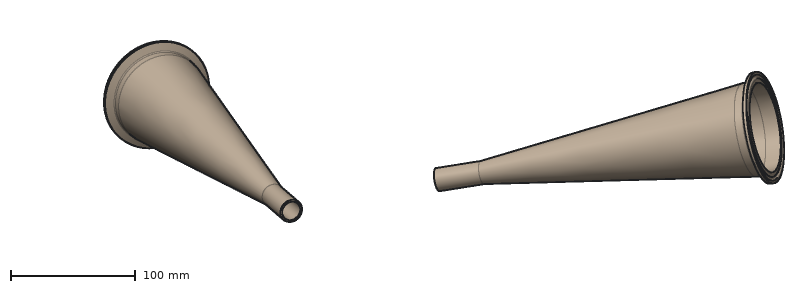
import cadquery as cq
import math

length = 279.5

flange_diameter = 90.8
rim_thickness = 2.8
flange_back_angle = 20.0
neck_diameter = 76.3
bore_diameter = 73.0
ferrule_length = 12.9
root_fillet = 1.0

groove_mean_diameter = 83.3
groove_width = 3.0
groove_depth = 1.5
groove_lip_fillet = 0.5

tube_diameter = 19.0
tube_bore_diameter = 15.6
tube_length = 38.0

flange_radius = flange_diameter / 2
neck_radius = neck_diameter / 2
bore_radius = bore_diameter / 2
tube_radius = tube_diameter / 2
tube_bore_radius = tube_bore_diameter / 2
tube_start = length - tube_length
flange_back_run = (flange_radius - neck_radius) * math.tan(math.radians(flange_back_angle))
flange_end = rim_thickness + flange_back_run


def revolve_about_x(profile):
    """Turn a closed (x, radius) profile a full turn about the X axis."""
    return profile.close().revolve(360, (0, 0, 0), (1, 0, 0))


def ferrule():
    """Clamp flange with a conical back and a short neck, bored through."""
    profile = (
        cq.Workplane("XY")
        .moveTo(0, bore_radius)
        .lineTo(0, flange_radius)
        .lineTo(rim_thickness, flange_radius)
        .lineTo(flange_end, neck_radius)
        .lineTo(ferrule_length, neck_radius)
        .lineTo(ferrule_length, bore_radius)
    )
    body = revolve_about_x(profile)
    root_circle_center = (flange_end, 0, 0)
    return body.edges(cq.selectors.NearestToPointSelector(root_circle_center)).fillet(root_fillet)


def gasket_groove():
    """Round-bottomed ring to cut from the clamp face."""
    mean_radius = groove_mean_diameter / 2
    half_width = groove_width / 2
    profile = (
        cq.Workplane("XY")
        .moveTo(0, mean_radius - half_width)
        .threePointArc((groove_depth, mean_radius), (0, mean_radius + half_width))
    )
    return revolve_about_x(profile)


def soften_groove_lips(body):
    """Round the two circular lips where the groove meets the clamp face."""
    inner_limit = (bore_radius + groove_mean_diameter / 2) / 2
    outer_limit = (flange_radius + groove_mean_diameter / 2) / 2
    face_circles = body.faces("<X").edges("%CIRCLE").vals()
    lips = [edge for edge in face_circles if inner_limit < edge.radius() < outer_limit]
    return body.newObject(lips).fillet(groove_lip_fillet)


def cone_and_tube():
    """Thin-walled cone narrowing from the ferrule neck to the straight tube."""
    profile = (
        cq.Workplane("XY")
        .moveTo(ferrule_length, bore_radius)
        .lineTo(ferrule_length, neck_radius)
        .lineTo(tube_start, tube_radius)
        .lineTo(length, tube_radius)
        .lineTo(length, tube_bore_radius)
        .lineTo(tube_start, tube_bore_radius)
    )
    return revolve_about_x(profile)


horn = ferrule().union(cone_and_tube()).cut(gasket_groove())
result = soften_groove_lips(horn)